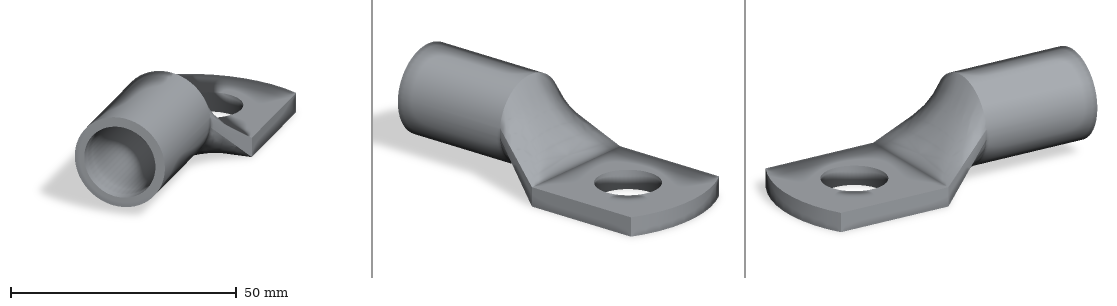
import cadquery as cq
import math

total_length = 74.4
tongue_width = 31.0
tongue_thickness = 4.6
tube_diameter = 21.3
bore_diameter = 16.8
tube_length = 29.0
neck_length = 13.1
neck_side_half_height = 1.2
neck_hollow = 2.2
total_height = 23.3
bolt_hole_diameter = 15.0
bolt_hole_y = 56.9
tip_rise = 4.1

tube_axis_z = total_height - tube_diameter / 2
tongue_start = tube_length + neck_length
half_width = tongue_width / 2


def section_plane(y, z):
    """Plane across the part, with local x along X and local y along Z."""
    return cq.Plane(origin=(0, y, z), xDir=(1, 0, 0), normal=(0, -1, 0))


def make_tube():
    plane = section_plane(tube_length, tube_axis_z)
    return cq.Workplane(plane).circle(tube_diameter / 2).extrude(tube_length)


def neck_wire(y, corner_x, low_z, high_z, side_x, bottom_z, top_z):
    """Four-arc closed section, symmetric about X = 0, through corners and arc midpoints."""
    middle_z = (low_z + high_z) / 2
    return (
        cq.Workplane(section_plane(y, 0))
        .moveTo(-corner_x, low_z)
        .threePointArc((0, bottom_z), (corner_x, low_z))
        .threePointArc((side_x, middle_z), (corner_x, high_z))
        .threePointArc((0, top_z), (-corner_x, high_z))
        .threePointArc((-side_x, middle_z), (-corner_x, low_z))
        .close()
        .wire()
        .val()
    )


def make_neck():
    """Blend from the tongue to the tube, with straight sides and a hollowed top."""
    tube_radius = tube_diameter / 2
    tube_corner_x = math.sqrt(tube_radius**2 - neck_side_half_height**2)
    tube_low_z = tube_axis_z - neck_side_half_height
    tube_high_z = tube_axis_z + neck_side_half_height

    tongue_wire = (
        cq.Workplane(section_plane(tongue_start, tongue_thickness / 2))
        .polyline([
            (-half_width, -tongue_thickness / 2),
            (half_width, -tongue_thickness / 2),
            (half_width, tongue_thickness / 2),
            (-half_width, tongue_thickness / 2),
        ])
        .close()
        .wire()
        .val()
    )
    middle_wire = neck_wire(
        y=tube_length + neck_length / 2,
        corner_x=(half_width + tube_corner_x) / 2,
        low_z=tube_low_z / 2,
        high_z=(tongue_thickness + tube_high_z) / 2,
        side_x=(half_width + tube_radius) / 2,
        bottom_z=(tube_axis_z - tube_radius) / 2,
        top_z=(tongue_thickness + total_height) / 2 - neck_hollow,
    )
    tube_wire = neck_wire(
        y=tube_length,
        corner_x=tube_corner_x,
        low_z=tube_low_z,
        high_z=tube_high_z,
        side_x=tube_radius,
        bottom_z=tube_axis_z - tube_radius,
        top_z=total_height,
    )
    return cq.Workplane(cq.Solid.makeLoft([tongue_wire, middle_wire, tube_wire]))


def make_tongue():
    corner_y = total_length - tip_rise
    return (
        cq.Workplane("XY")
        .moveTo(-half_width, tongue_start)
        .lineTo(half_width, tongue_start)
        .lineTo(half_width, corner_y)
        .threePointArc((0, total_length), (-half_width, corner_y))
        .close()
        .extrude(tongue_thickness)
    )


def make_bolt_hole():
    return (
        cq.Workplane("XY")
        .center(0, bolt_hole_y)
        .circle(bolt_hole_diameter / 2)
        .extrude(tongue_thickness)
    )


def make_bore():
    """Blind bore ending where the neck begins."""
    plane = section_plane(tube_length, tube_axis_z)
    return cq.Workplane(plane).circle(bore_diameter / 2).extrude(tube_length)


result = make_tube().union(make_neck()).union(make_tongue())
result = result.cut(make_bolt_hole()).cut(make_bore())